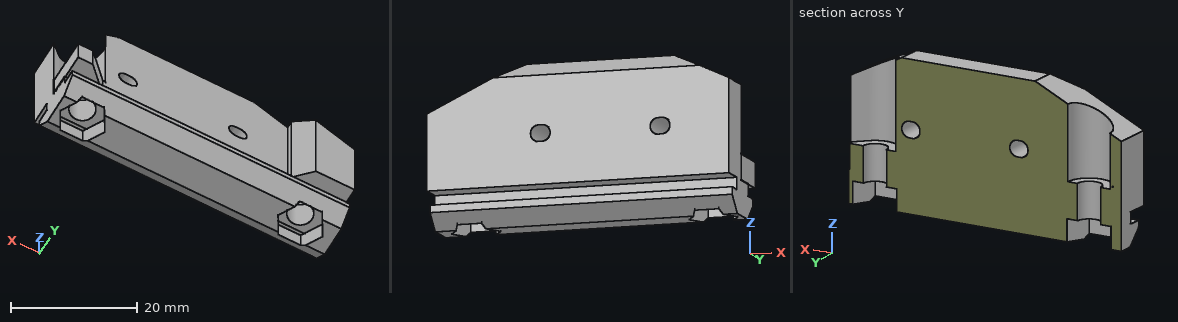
import cadquery as cq
import math

LENGTH = 50.4
WIDTH = 14.0
HEIGHT = 25.8
MID_Y = WIDTH / 2

LEFT_END_HEIGHT = 18.3
RIGHT_END_HEIGHT = 21.2
ROOF_LEFT = 15.95
ROOF_RIGHT = 40.55
ROOF_CHAMFER = 2.35

BODY_BOTTOM = 5.8
NECK_WIDTH = 5.85
RAIL_WIDTH = 10.8
RAIL_TOP = 3.85
RAIL_BEVEL_TOP = 2.6
RAIL_BOTTOM_WIDTH = 5.4

RECESS_FLOOR_Y = MID_Y + NECK_WIDTH / 2
RECESS_LEFT = 9.95
RECESS_RIGHT = 47.6
RECESS_LEFT_BEVEL = 2.85

SCREW_X = (6.0, 45.55)
SCREW_DIAMETER = 4.3
COUNTERBORE_DIAMETER = 7.7
COUNTERBORE_FLOOR = 10.1
CORNER_TRIM = 0.15
NUT_ACROSS_FLATS = 7.0
NUT_ROTATION = 30

CROSS_HOLE_X = (18.95, 38.9)
CROSS_HOLE_Z = 14.05
CROSS_HOLE_WIDTH = 3.3
CROSS_HOLE_HEIGHT = 2.65


def make_body():
    """Block with sloped roof ends and a chamfered front roof edge."""
    body = (
        cq.Workplane("XZ")
        .polyline([
            (0, BODY_BOTTOM),
            (LENGTH, BODY_BOTTOM),
            (LENGTH, RIGHT_END_HEIGHT),
            (ROOF_RIGHT, HEIGHT),
            (ROOF_LEFT, HEIGHT),
            (0, LEFT_END_HEIGHT),
        ])
        .close()
        .extrude(-WIDTH)
    )
    front_edge = (
        cq.Workplane("YZ")
        .polyline([(0, HEIGHT), (ROOF_CHAMFER, HEIGHT), (0, HEIGHT - ROOF_CHAMFER)])
        .close()
        .extrude(LENGTH)
    )
    return body.cut(front_edge)


def make_rail():
    """Symmetrical T profile running the full length."""
    half_profile = [
        (NECK_WIDTH / 2, BODY_BOTTOM),
        (NECK_WIDTH / 2, RAIL_TOP),
        (RAIL_WIDTH / 2, RAIL_TOP),
        (RAIL_WIDTH / 2, RAIL_BEVEL_TOP),
        (RAIL_BOTTOM_WIDTH / 2, 0),
    ]
    back_side = [(MID_Y + offset, z) for offset, z in half_profile]
    front_side = [(MID_Y - offset, z) for offset, z in reversed(half_profile)]
    return cq.Workplane("YZ").polyline(back_side + front_side).close().extrude(LENGTH)


def make_back_recess():
    """Recess with a short bevel at its left end and a full 45 degree slope at its right end."""
    return (
        cq.Workplane("XY")
        .workplane(offset=BODY_BOTTOM)
        .polyline([
            (RECESS_LEFT, RECESS_FLOOR_Y),
            (RECESS_RIGHT - (WIDTH - RECESS_FLOOR_Y), RECESS_FLOOR_Y),
            (RECESS_RIGHT, WIDTH),
            (RECESS_LEFT - RECESS_LEFT_BEVEL, WIDTH),
            (RECESS_LEFT, WIDTH - RECESS_LEFT_BEVEL),
        ])
        .close()
        .extrude(HEIGHT)
    )


def make_screw_cut(x):
    """Through hole, round counterbore from above and hexagonal nut pocket from below."""
    hole = cq.Workplane("XY").center(x, MID_Y).circle(SCREW_DIAMETER / 2).extrude(HEIGHT)
    counterbore = (
        cq.Workplane("XY")
        .workplane(offset=COUNTERBORE_FLOOR)
        .center(x, MID_Y)
        .circle(COUNTERBORE_DIAMETER / 2)
        .extrude(HEIGHT)
    )
    nut_pocket = (
        cq.Workplane("XY")
        .center(x, MID_Y)
        .transformed(rotate=(0, 0, NUT_ROTATION))
        .polygon(6, NUT_ACROSS_FLATS, circumscribed=True)
        .extrude(RAIL_TOP)
    )
    return hole.union(counterbore).union(nut_pocket)


def make_counterbore_opening():
    """Channel that opens the right counterbore diagonally to the back right corner."""
    return (
        cq.Workplane("XY")
        .workplane(offset=COUNTERBORE_FLOOR)
        .center(SCREW_X[1], MID_Y)
        .transformed(rotate=(0, 0, 45))
        .moveTo(0, -COUNTERBORE_DIAMETER / 2)
        .lineTo(WIDTH, -COUNTERBORE_DIAMETER / 2)
        .lineTo(WIDTH, COUNTERBORE_DIAMETER / 2)
        .lineTo(0, COUNTERBORE_DIAMETER / 2)
        .close()
        .extrude(HEIGHT)
    )


def make_corner_trim():
    """Thin slice off the right end of the body, behind the mouth of the counterbore channel."""
    trim_x = LENGTH - CORNER_TRIM
    mouth_y = MID_Y + trim_x - SCREW_X[1] - COUNTERBORE_DIAMETER / 2 * math.sqrt(2)
    return cq.Workplane("XY").box(
        CORNER_TRIM, WIDTH - mouth_y, COUNTERBORE_FLOOR - BODY_BOTTOM, centered=False
    ).translate((trim_x, mouth_y, BODY_BOTTOM))


def make_cross_holes():
    """Oval holes through the full width."""
    return (
        cq.Workplane("XZ")
        .pushPoints([(x, CROSS_HOLE_Z) for x in CROSS_HOLE_X])
        .slot2D(CROSS_HOLE_WIDTH, CROSS_HOLE_HEIGHT)
        .extrude(-WIDTH)
    )


result = make_body().union(make_rail()).cut(make_back_recess())
for screw_x in SCREW_X:
    result = result.cut(make_screw_cut(screw_x))
result = result.cut(make_counterbore_opening()).cut(make_corner_trim())
result = result.cut(make_cross_holes())